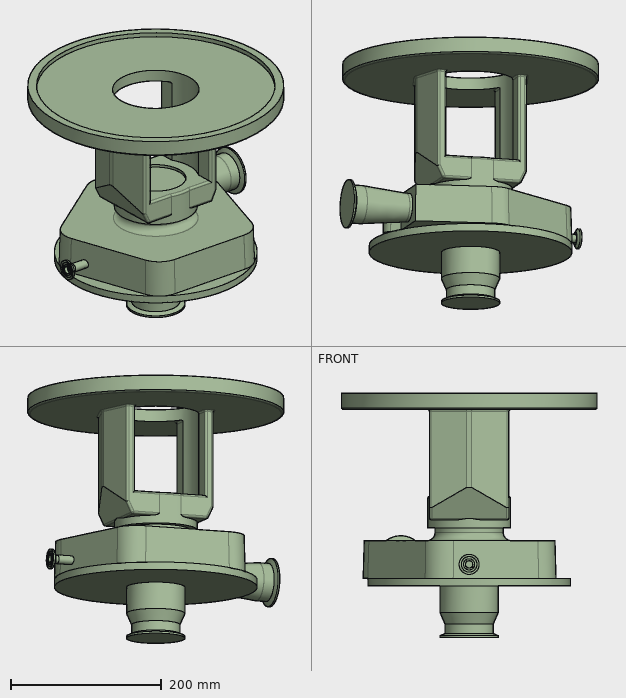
import cadquery as cq
import math

PLATE_R = 340.0 / 2
PLATE_TOP = 324.5
PLATE_BOTTOM = 302.5
PLATE_CHAMFER = 2.2
RECESS_R = 158.5
RECESS_DEPTH = 6.0
BORE_R = 57.5

YOKE_HALF_X = 53.0
RIDGE_HALF_X = 3.5
RIDGE_Y = 75.5
RIDGE_SLOPE = 16
YOKE_BOTTOM = 156.0
RIDGE_BOTTOM = 199.5
UNDERCUT_Y = 54.0
YOKE_ROUND = 3.5
WINDOW_HALF_Y = 50.0
WINDOW_ROUND = 3.0
ROOT_FILLET = 2.2
FLOOR_Z = 187.5
CUP_R = 55.0
CUP_BOTTOM = 145.8
FLOOR_RECESS_R = 40.0
FLOOR_RECESS_DEPTH = 3.7

NECK_R = 45.5
NECK_FILLET = 10.7

CASING_TOP = 128.8
CASING_BOTTOM = 78.8
CASING_APOTHEM = 115.5
PENTAGON_SIDES = 5
CASING_CORNER_R = 33.3
BACK_CORNER_R = 14.8
CASING_DRAFT = 1.5
INLET_FACE_Y = 115.5
INLET_CORNER_X = -123.2
BASE_R = 134.5
BASE_BOTTOM = 69.0

SPOUT_R = 39.0
SPOUT_NECK_R = 32.2
SPOUT_CONE_TOP = 33.3
SPOUT_CONE_BOTTOM = 18.0

NOZZLE_X = -90.5
NOZZLE_Z = 103.2
TOTAL_LENGTH_Y = 370.0
NOZZLE_END_Y = TOTAL_LENGTH_Y - PLATE_R
NOZZLE_CONE_START_Y = 118.8
NOZZLE_CONE_END_Y = 180.0
NOZZLE_ROOT_R = 19.2
NOZZLE_R = 25.5
NOZZLE_RIM_R = 32.2

DRAIN_Z = 97.3
DRAIN_END_Y = -151.0
DRAIN_STEM_R = 6.0
DRAIN_NECK_R = 9.0
DRAIN_RIM_R = 13.5
DRAIN_BORE_R = 4.8
DRAIN_BORE_DEPTH = 11.0
GROOVE_INNER_R = 7.5
GROOVE_OUTER_R = 10.5
GROOVE_DEPTH = 1.0

RIM_THICKNESS = 2.5
RIM_TAPER = 3.0

MARGIN = 0.5

ROOT_OVERLAP = 3.7


def cylinder(radius, bottom, top):
    """Upright cylinder on the Z axis between two heights."""
    return cq.Workplane("XY").workplane(offset=bottom).circle(radius).extrude(top - bottom)


def edges_within(low, high):
    """Select edges whose centres lie in a box given by two corners."""
    return cq.selectors.BoxSelector(low, high)


def revolve_profile(points):
    """Revolve (radius, height) points about Z."""
    return cq.Workplane("XZ").polyline(points).close().revolve(360, (0, 0, 0), (0, 1, 0))


def make_plate():
    """Round plate with a shallow recess inside its rim."""
    plate = cylinder(PLATE_R, PLATE_BOTTOM, PLATE_TOP).faces("<Z").chamfer(PLATE_CHAMFER)
    return plate.cut(cylinder(RECESS_R, PLATE_TOP - RECESS_DEPTH, PLATE_TOP))


def make_yoke():
    """Ridged columns, the block that joins them, the cup, and the window between them."""
    shoulder_y = RIDGE_Y - (YOKE_HALF_X - RIDGE_HALF_X) * math.tan(math.radians(RIDGE_SLOPE))
    back_right = [(RIDGE_HALF_X, RIDGE_Y), (YOKE_HALF_X, shoulder_y)]
    right_side = back_right + [(x, -y) for x, y in reversed(back_right)]
    left_side = [(-x, -y) for x, y in right_side]
    yoke = (
        cq.Workplane("XY").workplane(offset=YOKE_BOTTOM)
        .polyline(right_side + left_side).close()
        .extrude(PLATE_BOTTOM - YOKE_BOTTOM)
    )
    for side in (1, -1):
        yoke = yoke.cut(make_undercut(side))

    yoke = yoke.edges("(<X or >X or <Z) and (not >Z)").fillet(YOKE_ROUND)

    yoke = yoke.union(cylinder(CUP_R, CUP_BOTTOM, FLOOR_Z))
    window = (
        cq.Workplane("XY").workplane(offset=FLOOR_Z)
        .rect(2 * PLATE_R, 2 * WINDOW_HALF_Y)
        .extrude(PLATE_BOTTOM - FLOOR_Z)
    )
    yoke = yoke.cut(window)
    for side in (1, -1):
        mouth = edges_within(
            (side * (YOKE_HALF_X - MARGIN), -WINDOW_HALF_Y - MARGIN, FLOOR_Z - MARGIN),
            (side * (CUP_R + MARGIN), WINDOW_HALF_Y + MARGIN, PLATE_BOTTOM + MARGIN),
        )
        yoke = yoke.edges(mouth).fillet(WINDOW_ROUND)
    return yoke


def make_undercut(side):
    """Wedge removed below a column, on the +Y (1) or -Y (-1) side."""
    profile = [
        (side * RIDGE_Y, RIDGE_BOTTOM),
        (side * UNDERCUT_Y, YOKE_BOTTOM),
        (side * RIDGE_Y, YOKE_BOTTOM),
    ]
    return cq.Workplane("YZ").polyline(profile).close().extrude(YOKE_HALF_X, both=True)


def make_plate_and_yoke():
    """Plate filleted onto the columns, bored down to the floor of the window."""
    body = make_plate().union(make_yoke())
    column_roots = edges_within(
        (-YOKE_HALF_X - MARGIN, -RIDGE_Y - MARGIN, PLATE_BOTTOM - MARGIN),
        (YOKE_HALF_X + MARGIN, RIDGE_Y + MARGIN, PLATE_BOTTOM + MARGIN),
    )
    body = body.edges(column_roots).fillet(ROOT_FILLET)
    body = body.cut(cylinder(BORE_R, FLOOR_Z, PLATE_TOP))
    return body.cut(cylinder(FLOOR_RECESS_R, FLOOR_Z - FLOOR_RECESS_DEPTH, FLOOR_Z))


def make_neck():
    """Short round neck that flares onto the casing top."""
    corner_z = CASING_TOP + NECK_FILLET
    return (
        cq.Workplane("XZ")
        .moveTo(0, CASING_TOP)
        .lineTo(NECK_R + NECK_FILLET, CASING_TOP)
        .radiusArc((NECK_R, corner_z), NECK_FILLET)
        .lineTo(NECK_R, CUP_BOTTOM)
        .lineTo(0, CUP_BOTTOM)
        .close()
        .revolve(360, (0, 0, 0), (0, 1, 0))
    )


def make_casing():
    """Tapered pentagon body with the inlet block, standing on the round base."""
    half_sector = math.pi / PENTAGON_SIDES
    vertex_r = CASING_APOTHEM / math.cos(half_sector)
    angles = [math.pi + 2 * half_sector * i for i in range(PENTAGON_SIDES)]
    vertices = [(vertex_r * math.cos(angle), vertex_r * math.sin(angle)) for angle in angles]
    back_vertex = vertices[-1]
    notch_x = back_vertex[0] - (back_vertex[1] - INLET_FACE_Y) * math.tan(half_sector)
    outline = vertices + [(notch_x, INLET_FACE_Y), (INLET_CORNER_X, INLET_FACE_Y)]

    height = CASING_TOP - CASING_BOTTOM
    body = (
        cq.Workplane("XY").workplane(offset=CASING_BOTTOM)
        .polyline(outline).close()
        .extrude(height, taper=CASING_DRAFT)
    )
    for vertex in vertices:
        radius = BACK_CORNER_R if vertex == back_vertex else CASING_CORNER_R
        middle = (vertex[0], vertex[1], CASING_TOP - height / 2)
        body = body.edges(cq.selectors.NearestToPointSelector(middle)).fillet(radius)
    return body.union(cylinder(BASE_R, BASE_BOTTOM, CASING_BOTTOM))


def make_spout():
    """Outlet along -Z that narrows to a clamp rim."""
    return revolve_profile([
        (0, 0), (SPOUT_R, 0), (SPOUT_R, RIM_THICKNESS),
        (SPOUT_NECK_R, RIM_THICKNESS + RIM_TAPER), (SPOUT_NECK_R, SPOUT_CONE_BOTTOM),
        (SPOUT_R, SPOUT_CONE_TOP), (SPOUT_R, BASE_BOTTOM), (0, BASE_BOTTOM),
    ])


def make_nozzle():
    """Cone that widens toward a clamp rim; the profile height is measured from the rim face."""
    length = NOZZLE_END_Y - INLET_FACE_Y + ROOT_OVERLAP
    nozzle = revolve_profile([
        (0, 0), (NOZZLE_RIM_R, 0), (NOZZLE_RIM_R, RIM_THICKNESS),
        (NOZZLE_R, RIM_THICKNESS + RIM_TAPER),
        (NOZZLE_R, NOZZLE_END_Y - NOZZLE_CONE_END_Y),
        (NOZZLE_ROOT_R, NOZZLE_END_Y - NOZZLE_CONE_START_Y),
        (NOZZLE_ROOT_R, length), (0, length),
    ])
    return nozzle.rotate((0, 0, 0), (1, 0, 0), 90).translate((NOZZLE_X, NOZZLE_END_Y, NOZZLE_Z))


def make_drain():
    """Thin stem with a grooved clamp rim and a blind bore, measured from the rim face."""
    length = -DRAIN_END_Y - CASING_APOTHEM + ROOT_OVERLAP
    drain = revolve_profile([
        (DRAIN_BORE_R, 0), (GROOVE_INNER_R, 0), (GROOVE_INNER_R, GROOVE_DEPTH),
        (GROOVE_OUTER_R, GROOVE_DEPTH), (GROOVE_OUTER_R, 0),
        (DRAIN_RIM_R, 0), (DRAIN_RIM_R, RIM_THICKNESS),
        (DRAIN_NECK_R, RIM_THICKNESS + RIM_TAPER), (DRAIN_STEM_R, RIM_THICKNESS + RIM_TAPER),
        (DRAIN_STEM_R, length), (0, length),
        (0, DRAIN_BORE_DEPTH), (DRAIN_BORE_R, DRAIN_BORE_DEPTH),
    ])
    return drain.rotate((0, 0, 0), (1, 0, 0), -90).translate((0, DRAIN_END_Y, DRAIN_Z))


result = make_plate_and_yoke()
for piece in (make_neck(), make_casing(), make_spout(), make_nozzle(), make_drain()):
    result = result.union(piece)